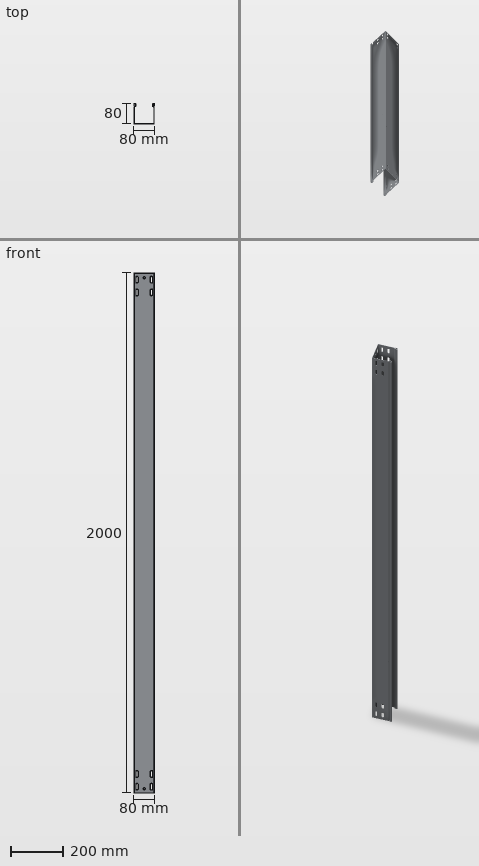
import cadquery as cq
import math

length = 2000.0
width = 80.0
depth = 80.0
thickness = 1.5
corner_inner_radius = 0.5

hem_step = 1.5
hem_outer_radius = 4.0
hem_return = 5.0
jog_start = 25.5
jog_angle = 60.0
jog_inner_radius = 0.75

end_slot_inset = 25.0
slot_pitch = 49.0
slot_length = 25.0
web_slot_x = 27.5
web_slot_width = 8.0
wide_slot_y = 3.0
wide_slot_width = 9.0
narrow_slot_y = -23.0
narrow_slot_width = 7.0

web_hole_inset = 17.5
web_hole_diameter = 7.0

half_length = length / 2
half_width = width / 2
half_depth = depth / 2
wall_x = half_width - hem_step
end_signs = (1, -1)


def sheet_steps():
    """Runs and bends of half the sheet, from the middle of the web to the free end of the hem.

    Each step is (straight run, turn to the left in degrees, inner bend radius).
    """
    corner_radius = corner_inner_radius + thickness
    jog_radii = 2 * jog_inner_radius + thickness
    turn = math.radians(jog_angle)
    hem_leg_x = half_width - 2 * hem_outer_radius + thickness
    jog_shift = wall_x - hem_leg_x
    jog_slope = (jog_shift - jog_radii * (1 - math.cos(turn))) / math.sin(turn)
    jog_height = jog_radii * math.sin(turn) + jog_slope * math.cos(turn)
    hem_leg = half_depth - hem_outer_radius - jog_start - jog_height
    return [
        (wall_x - corner_radius, 90, corner_inner_radius),
        (half_depth + jog_start - corner_radius, jog_angle, jog_inner_radius),
        (jog_slope, -jog_angle, jog_inner_radius),
        (hem_leg, -180, hem_outer_radius - thickness),
        (hem_return, 0, 0),
    ]


def offset_point(x, y, heading, offset):
    """Point at a distance to the left of (x, y) for a path with the given heading."""
    angle = math.radians(heading)
    return (x - offset * math.sin(angle), y + offset * math.cos(angle))


def sheet_face_path(offset):
    """Start point and segments of the line lying `offset` to the left of the sheet's mid-line.

    Each segment is its list of points after the start: one for a line, two for an arc.
    """
    x, y, heading = 0.0, thickness / 2 - half_depth, 0.0
    start = offset_point(x, y, heading, offset)
    segments = []
    for run, turn, inner_radius in sheet_steps():
        x += run * math.cos(math.radians(heading))
        y += run * math.sin(math.radians(heading))
        segments.append([offset_point(x, y, heading, offset)])
        if turn:
            mid_radius = math.copysign(inner_radius + thickness / 2, turn)
            center = offset_point(x, y, heading, mid_radius)
            middle = offset_point(*center, heading + turn / 2, offset - mid_radius)
            end = offset_point(*center, heading + turn, offset - mid_radius)
            segments.append([middle, end])
            heading += turn
            x, y = offset_point(*center, heading, -mid_radius)
    return start, segments


def draw_segment(sketch, points):
    if len(points) == 1:
        return sketch.lineTo(*points[0])
    return sketch.threePointArc(*points)


def half_rail():
    outer_start, outer_segments = sheet_face_path(-thickness / 2)
    inner_start, inner_segments = sheet_face_path(thickness / 2)
    sketch = cq.Workplane("XY", origin=(0, 0, -half_length)).moveTo(*outer_start)
    for points in outer_segments:
        sketch = draw_segment(sketch, points)
    sketch = sketch.lineTo(*inner_segments[-1][-1])
    segment_starts = [inner_start] + [points[-1] for points in inner_segments[:-1]]
    for points, segment_start in zip(reversed(inner_segments), reversed(segment_starts)):
        sketch = draw_segment(sketch, points[:-1] + [segment_start])
    return sketch.close().extrude(length)


def slot_cutters(plane, across, slot_width):
    """Vertical slots at both ends of the rail, as sketches on the given plane."""
    centers = [
        (across, end * (half_length - end_slot_inset - row * slot_pitch))
        for end in end_signs
        for row in range(2)
    ]
    return cq.Workplane(plane).pushPoints(centers).slot2D(slot_length, slot_width, 90)


def cut_web_slots(body):
    for x in (-web_slot_x, web_slot_x):
        body = body.cut(slot_cutters("XZ", x, web_slot_width).extrude(half_depth))
    return body


def cut_web_holes(body):
    centers = [(0, end * (half_length - web_hole_inset)) for end in end_signs]
    holes = cq.Workplane("XZ").pushPoints(centers).circle(web_hole_diameter / 2).extrude(half_depth)
    return body.cut(holes)


def cut_wall_slots(body):
    for y, slot_width in ((wide_slot_y, wide_slot_width), (narrow_slot_y, narrow_slot_width)):
        body = body.cut(slot_cutters("YZ", y, slot_width).extrude(half_width, both=True))
    return body


half = half_rail()
result = half.union(half.mirror("YZ")).clean()
result = cut_web_slots(result)
result = cut_web_holes(result)
result = cut_wall_slots(result)